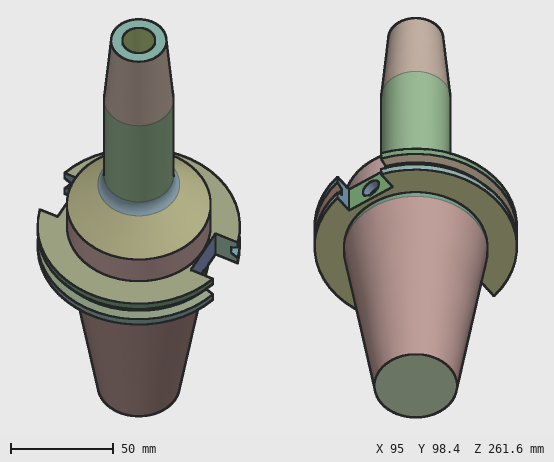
import cadquery as cq
import math


gauge_diameter = 69.85
taper_length = 101.6
taper_ratio = 7 / 24

flange_diameter = 98.425
flange_bottom_z = 3.175
flange_thickness = 15.875
flange_top_z = flange_bottom_z + flange_thickness

groove_center_z = flange_bottom_z + flange_thickness / 2
groove_mouth_width = 7.8
groove_depth = 3.6
groove_flank_angle = 30

key_slot_width = 25.92
left_slot_floor_x = -37.7
right_slot_floor_x = 35.3

chip_hole_diameter = 9.5
chip_hole_depth = 5.2

collar_diameter = 70.0
collar_top_z = 35.5
neck_diameter = 34.0
neck_fillet_radius = 10.0

gauge_to_nose = 160.0
nose_diameter = 27.0
nose_half_angle = 4.5
bore_diameter = 16.0
bore_depth = 50.0


def make_body():
    """Revolve the full outside outline about Z."""
    taper_end_radius = (gauge_diameter - taper_length * taper_ratio) / 2
    gauge_radius = gauge_diameter / 2
    flange_radius = flange_diameter / 2
    collar_radius = collar_diameter / 2
    neck_radius = neck_diameter / 2
    nose_radius = nose_diameter / 2

    shoulder_angle = math.radians(45)
    diagonal = neck_fillet_radius * math.cos(shoulder_angle)
    shoulder_top_radius = neck_radius + neck_fillet_radius - diagonal
    shoulder_top_z = collar_top_z + collar_radius - shoulder_top_radius
    fillet_top_z = shoulder_top_z + diagonal

    mid_angle = shoulder_angle / 2
    fillet_mid = (
        neck_radius + neck_fillet_radius * (1 - math.cos(mid_angle)),
        fillet_top_z - neck_fillet_radius * math.sin(mid_angle),
    )

    nose_taper_length = (neck_radius - nose_radius) / math.tan(math.radians(nose_half_angle))

    outline = (
        cq.Workplane("XZ")
        .moveTo(0, -taper_length)
        .lineTo(taper_end_radius, -taper_length)
        .lineTo(gauge_radius, 0)
        .lineTo(gauge_radius, flange_bottom_z)
        .lineTo(flange_radius, flange_bottom_z)
        .lineTo(flange_radius, flange_top_z)
        .lineTo(collar_radius, flange_top_z)
        .lineTo(collar_radius, collar_top_z)
        .lineTo(shoulder_top_radius, shoulder_top_z)
        .threePointArc(fillet_mid, (neck_radius, fillet_top_z))
        .lineTo(neck_radius, gauge_to_nose - nose_taper_length)
        .lineTo(nose_radius, gauge_to_nose)
        .lineTo(0, gauge_to_nose)
        .close()
    )
    return outline.revolve(360, (0, 0, 0), (0, 1, 0))


def make_groove():
    """Ring with the trapezoid section of the gripper groove."""
    flange_radius = flange_diameter / 2
    half_mouth = groove_mouth_width / 2
    half_floor = half_mouth - groove_depth * math.tan(math.radians(groove_flank_angle))
    floor_radius = flange_radius - groove_depth
    section = (
        cq.Workplane("XZ")
        .moveTo(flange_radius, groove_center_z - half_mouth)
        .lineTo(flange_radius, groove_center_z + half_mouth)
        .lineTo(floor_radius, groove_center_z + half_floor)
        .lineTo(floor_radius, groove_center_z - half_floor)
        .close()
    )
    return section.revolve(360, (0, 0, 0), (0, 1, 0))


def make_key_slot(floor_x):
    """Block that opens the flange from the slot floor out past its rim."""
    rim_x = math.copysign(flange_diameter / 2, floor_x)
    return (
        cq.Workplane("XY", origin=((floor_x + rim_x) / 2, 0, flange_bottom_z))
        .rect(abs(rim_x - floor_x), key_slot_width)
        .extrude(flange_thickness)
    )


def make_chip_hole():
    """Blind hole running inward (+X) from the left slot floor."""
    return (
        cq.Workplane("YZ", origin=(left_slot_floor_x, 0, groove_center_z))
        .circle(chip_hole_diameter / 2)
        .extrude(chip_hole_depth)
    )


def make_bore():
    """Blind tool bore, open at the nose."""
    return (
        cq.Workplane("XY", origin=(0, 0, gauge_to_nose - bore_depth))
        .circle(bore_diameter / 2)
        .extrude(bore_depth)
    )


result = make_body().cut(make_groove())
for slot_floor_x in (left_slot_floor_x, right_slot_floor_x):
    result = result.cut(make_key_slot(slot_floor_x))
result = result.cut(make_chip_hole()).cut(make_bore())